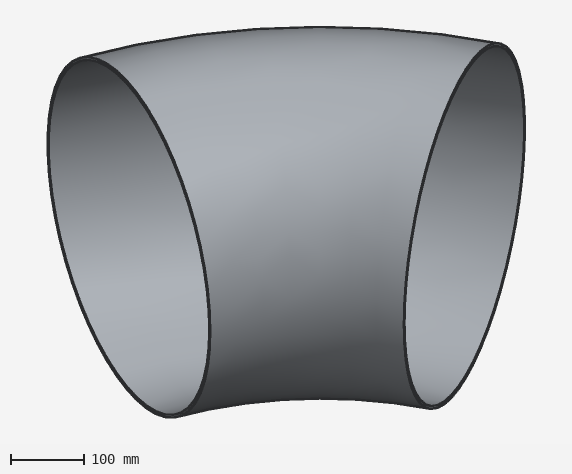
import cadquery as cq
import math

overall_length = 609.5
outer_diameter = 508.0
wall_thickness = 4.1
bend_angle = 45.0

outer_radius = outer_diameter / 2
inner_radius = outer_radius - wall_thickness

bend_cosine = math.cos(math.radians(bend_angle))
bend_radius = (overall_length - outer_radius * (1 + bend_cosine)) / (1 - bend_cosine)

result = (
    cq.Workplane("XZ")
    .circle(outer_radius)
    .circle(inner_radius)
    .revolve(bend_angle, (bend_radius, 0, 0), (bend_radius, -1, 0))
)